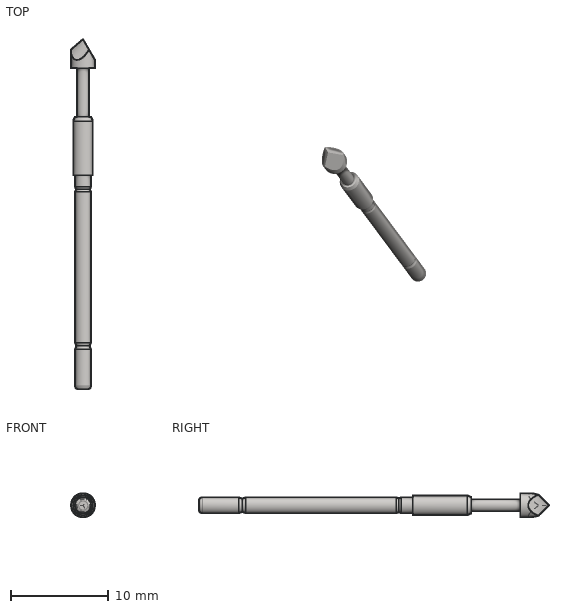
import cadquery as cq
import math

total_length = 36.0
tip_y = total_length / 2
tail_y = -total_length / 2

head_diameter = 2.5
head_length = 3.0
face_angle = 30.0
shaft_diameter = 1.25
shaft_exposed_length = 5.0

collar_diameter = 2.05
collar_length = 6.0
mouth_diameter = 1.7
mouth_taper_length = 0.45

barrel_diameter = 1.65
front_groove_from_collar = 1.45
front_groove_width = 0.5
front_groove_depth = 0.1
rear_groove_from_tail = 4.45
rear_groove_width = 0.7
rear_groove_depth = 0.15
tail_round = 0.35

head_base_y = tip_y - head_length
collar_front_y = head_base_y - shaft_exposed_length
collar_back_y = collar_front_y - collar_length


def rod(diameter, front_y, back_y):
    """Cylinder about Y from back_y to front_y."""
    start = cq.Workplane("XZ", origin=(0, front_y, 0))
    return start.circle(diameter / 2).extrude(front_y - back_y)


def pointed_head():
    """Cylinder cut by three sloping faces that meet at the tip; one faces +X."""
    head = rod(head_diameter, tip_y, head_base_y)
    radius = head_diameter / 2
    face_drop = radius / math.tan(math.radians(face_angle))
    waste = (
        cq.Workplane("XY", origin=(0, 0, -head_diameter))
        .moveTo(0, tip_y)
        .lineTo(2 * radius, tip_y - 2 * face_drop)
        .lineTo(2 * radius, tip_y)
        .close()
        .extrude(2 * head_diameter)
    )
    for turn in (0, 120, 240):
        head = head.cut(waste.rotate((0, 0, 0), (0, 1, 0), turn))
    return head


def collar():
    """Thick sleeve with a tapered mouth."""
    body = rod(collar_diameter, collar_front_y, collar_back_y)
    mouth_inset = (collar_diameter - mouth_diameter) / 2
    return body.faces(">Y").chamfer(mouth_taper_length, mouth_inset)


def vee_groove(center_y, width, depth):
    """Ring whose cross-section is a vee dipping into the barrel."""
    radius = barrel_diameter / 2
    outside = radius + depth
    return (
        cq.Workplane("XY")
        .moveTo(outside, center_y + width / 2)
        .lineTo(radius, center_y + width / 2)
        .lineTo(radius - depth, center_y)
        .lineTo(radius, center_y - width / 2)
        .lineTo(outside, center_y - width / 2)
        .close()
        .revolve(360, (0, 0, 0), (0, 1, 0))
    )


def barrel():
    """Long tube with a rounded tail and two vee grooves."""
    tube = rod(barrel_diameter, collar_back_y, tail_y).faces("<Y").edges().fillet(tail_round)
    front_groove_y = collar_back_y - front_groove_from_collar
    rear_groove_y = tail_y + rear_groove_from_tail
    tube = tube.cut(vee_groove(front_groove_y, front_groove_width, front_groove_depth))
    return tube.cut(vee_groove(rear_groove_y, rear_groove_width, rear_groove_depth))


shaft = rod(shaft_diameter, head_base_y, collar_front_y)
result = pointed_head().union(shaft).union(collar()).union(barrel())